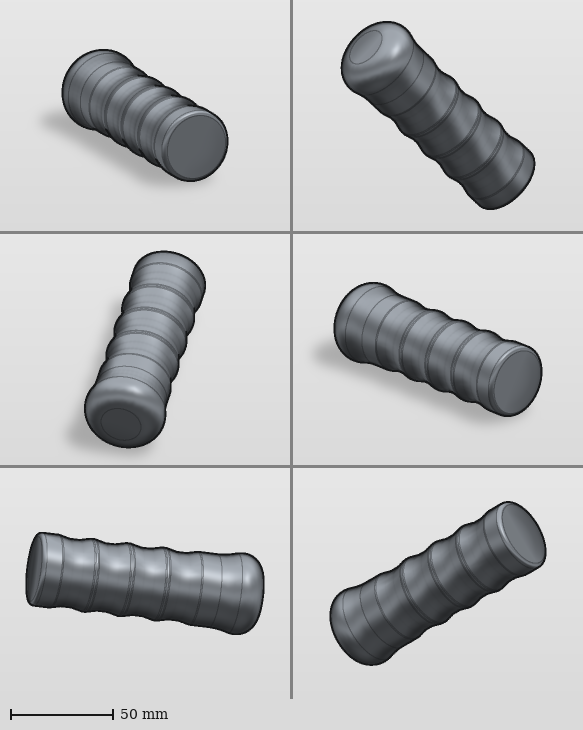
import cadquery as cq
import math

length = 113.0
head_radius = 20.0
head_round = head_radius / 2
body_radius = 36.0 / 2
neck_end = 22.9
end_round = 2.0

groove_count = 4
first_groove = 32.3
groove_width = 17.0
land_width = 1.0
groove_depth = 1.5
groove_edge_round = 2.0

DIAGONAL = math.sqrt(0.5)


def add_head(profile):
    """Flat end disc, rounded head and concave neck, tangent to one another."""
    center = head_radius - head_round
    run = neck_end - head_round
    rise = body_radius - center
    neck = (run**2 + rise**2 - head_round**2) / (2 * (head_round - rise))
    joint_angle = math.atan2(rise + neck, run)
    joint = (
        head_round + head_round * math.cos(joint_angle),
        center + head_round * math.sin(joint_angle),
    )
    neck_angle = (joint_angle + math.pi / 2) / 2
    neck_middle = (
        neck_end - neck * math.cos(neck_angle),
        body_radius + neck - neck * math.sin(neck_angle),
    )
    head_middle = (head_round * (1 - DIAGONAL), center + head_round * DIAGONAL)
    return (
        profile.lineTo(0, center)
        .threePointArc(head_middle, joint)
        .threePointArc(neck_middle, (neck_end, body_radius))
    )


def add_groove(profile, start):
    """Shallow concave groove with a tangent convex round at each edge."""
    half = groove_width / 2
    middle = start + half
    center_distance = (half**2 + groove_depth**2) / (2 * groove_depth)
    joint_angle = math.asin(half / center_distance)

    def edge_point(angle):
        inset = groove_edge_round * math.sin(angle)
        drop = groove_edge_round * (1 - math.cos(angle))
        return inset, body_radius - drop

    joint_inset, joint_radius = edge_point(joint_angle)
    round_inset, round_radius = edge_point(joint_angle / 2)
    end = start + groove_width
    return (
        profile.lineTo(start, body_radius)
        .threePointArc((start + round_inset, round_radius), (start + joint_inset, joint_radius))
        .threePointArc((middle, body_radius - groove_depth), (end - joint_inset, joint_radius))
        .threePointArc((end - round_inset, round_radius), (end, body_radius))
    )


def add_end(profile):
    """Plain cylindrical collar with a rounded rim."""
    rim_middle = (
        length - end_round * (1 - DIAGONAL),
        body_radius - end_round * (1 - DIAGONAL),
    )
    return (
        profile.lineTo(length - end_round, body_radius)
        .threePointArc(rim_middle, (length, body_radius - end_round))
        .lineTo(length, 0)
    )


outline = add_head(cq.Workplane("XY").moveTo(0, 0))
for index in range(groove_count):
    outline = add_groove(outline, first_groove + index * (groove_width + land_width))
outline = add_end(outline).close()

result = outline.revolve(360, (0, 0, 0), (1, 0, 0))